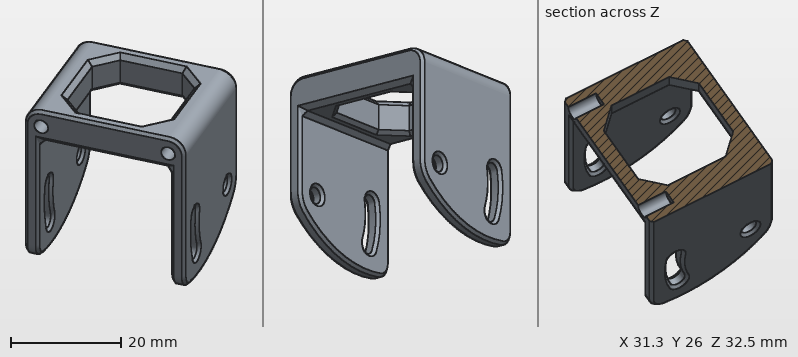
import cadquery as cq
import math

width = 31.3
depth = 26.0
height = 32.53

wall = 2.73
plate = 6.57
corner_radius = 3.25
edge_chamfer = 0.6
web_size = 0.95
plate_bevel = 1.0

pivot_diameter = 3.1
pivot_y = 8.0
pivot_z = 11.05
slot_radius = 16.05
slot_angle_up = 10.0
slot_angle_down = 20.3

sweep_radius = 26.02
sweep_y = -6.28
back_corner_radius = 5.2
front_corner_radius = 3.1

window_size = 20.0
window_corner_cut = 3.95
window_chamfer = 1.0
window_lower_chamfer = 0.78

pin_diameter = 2.7
pin_depth = 5.85

half_width = width / 2
half_depth = depth / 2
inner_height = height - plate

overrun = 3.25


def polar(center, radius, degrees):
    """Point on a circle, with 0 degrees along the first axis."""
    angle = math.radians(degrees)
    return (center[0] + radius * math.cos(angle), center[1] + radius * math.sin(angle))


def lower_corner(radius, side):
    """Centre of a corner arc touching an end face and the long arc, and its tangent direction.

    side is +1 for the back face and -1 for the front face.
    """
    center_y = side * (half_depth - radius)
    across = center_y - sweep_y
    reach = sweep_radius - radius
    center = (center_y, sweep_radius - math.sqrt(reach**2 - across**2))
    return center, math.degrees(math.asin(across / reach)) - 90


def side_wall():
    """One side wall at the -X side, with its rims and openings chamfered on both faces.

    It rises past the plate so that its top rim disappears when the part is trimmed.
    """
    top = height + overrun
    back_center, back_angle = lower_corner(back_corner_radius, 1)
    front_center, front_angle = lower_corner(front_corner_radius, -1)
    slab = (
        cq.Workplane("YZ")
        .workplane(offset=-half_width)
        .moveTo(half_depth, top)
        .lineTo(half_depth, back_center[1])
        .threePointArc(
            polar(back_center, back_corner_radius, back_angle / 2),
            polar(back_center, back_corner_radius, back_angle),
        )
        .threePointArc(
            (sweep_y, 0),
            polar((sweep_y, sweep_radius), sweep_radius, front_angle),
        )
        .threePointArc(
            polar(front_center, front_corner_radius, (front_angle - 180) / 2),
            (-half_depth, front_center[1]),
        )
        .lineTo(-half_depth, top)
        .close()
        .extrude(wall)
    )
    slab = slab.cut(pivot_hole()).cut(curved_slot())
    return slab.faces("<X or >X").chamfer(edge_chamfer)


def pivot_hole():
    """Cut tool for the round hole in the -X wall."""
    return (
        cq.Workplane("YZ", origin=(-half_width, pivot_y, pivot_z))
        .circle(pivot_diameter / 2)
        .extrude(wall)
    )


def curved_slot():
    """Cut tool for the slot in the -X wall, an arc around the pivot."""
    pivot = (pivot_y, pivot_z)
    half_slot = pivot_diameter / 2
    inner = slot_radius - half_slot
    outer = slot_radius + half_slot
    upper = 180 - slot_angle_up
    lower = 180 + slot_angle_down
    middle = (upper + lower) / 2
    upper_center = polar(pivot, slot_radius, upper)
    lower_center = polar(pivot, slot_radius, lower)
    return (
        cq.Workplane("YZ")
        .workplane(offset=-half_width)
        .moveTo(*polar(pivot, inner, upper))
        .threePointArc(polar(pivot, inner, middle), polar(pivot, inner, lower))
        .threePointArc(polar(lower_center, half_slot, lower + 90), polar(pivot, outer, lower))
        .threePointArc(polar(pivot, outer, middle), polar(pivot, outer, upper))
        .threePointArc(polar(upper_center, half_slot, upper - 90), polar(pivot, inner, upper))
        .close()
        .extrude(wall)
    )


def top_plate():
    """Plate between the walls, bevelled along its lower front and back edges."""
    return (
        cq.Workplane("XY")
        .workplane(offset=inner_height)
        .rect(width - 2 * edge_chamfer, depth)
        .extrude(plate)
        .edges("|X and <Z")
        .chamfer(plate_bevel)
    )


def corner_web():
    """Slanted web in the -X inner corner, its front end cut back to meet the bevels."""
    x_inner = half_width - wall
    tip = cq.Vector(-x_inner - edge_chamfer, -half_depth, inner_height + plate_bevel)
    on_plate = cq.Vector(-x_inner + web_size, plate_bevel - half_depth, inner_height)
    on_wall = cq.Vector(-x_inner, edge_chamfer - half_depth, inner_height - web_size)
    web = (
        cq.Workplane("XZ")
        .polyline([(point.x, point.z) for point in (tip, on_plate, on_wall)])
        .close()
        .extrude(half_depth)
    )
    facing = (on_plate - tip).cross(on_wall - tip)
    if facing.y > 0:
        facing = facing * -1
    waste = cq.Workplane(cq.Plane(origin=tip, normal=facing)).rect(depth, depth).extrude(depth)
    half_web = web.cut(waste)
    return half_web.union(half_web.mirror("XZ"))


def envelope():
    """Outer block with rounded upper corners and chamfered front and back rims.

    It reaches below the walls so that only the upper and side rims trim the part.
    """
    return (
        cq.Workplane("XY")
        .workplane(offset=-overrun)
        .rect(width, depth)
        .extrude(height + overrun)
        .edges("|Y and >Z")
        .fillet(corner_radius)
        .faces("<Y or >Y")
        .chamfer(edge_chamfer)
    )


def window():
    """Octagonal opening through the plate, flared at the top and, less deeply, underneath."""

    def octagon(growth):
        size = window_size + 2 * growth
        cut = window_corner_cut + growth * (2 - math.sqrt(2))
        half = size / 2
        short = half - cut
        return [
            (half, short),
            (short, half),
            (-short, half),
            (-half, short),
            (-half, -short),
            (-short, -half),
            (short, -half),
            (half, -short),
        ]

    top = cq.Workplane("XY").workplane(offset=height)
    opening = top.polyline(octagon(0)).close().extrude(-plate - web_size)
    flare = top.polyline(octagon(window_chamfer)).close().extrude(-window_chamfer, taper=45)
    underside = cq.Workplane("XY").workplane(offset=inner_height)
    lower_flare = (
        underside.polyline(octagon(window_lower_chamfer))
        .close()
        .extrude(window_lower_chamfer, taper=45)
    )
    return opening.union(flare).union(lower_flare)


def pin_holes():
    """Blind holes in the front face."""
    x = half_width - corner_radius
    return (
        cq.Workplane("XZ", origin=(0, -half_depth, height - corner_radius))
        .pushPoints([(-x, 0), (x, 0)])
        .circle(pin_diameter / 2)
        .extrude(-pin_depth)
    )


left_side = side_wall().union(corner_web())
right_side = left_side.mirror("YZ")
body = top_plate().union(left_side).union(right_side)
result = body.intersect(envelope()).cut(window()).cut(pin_holes())